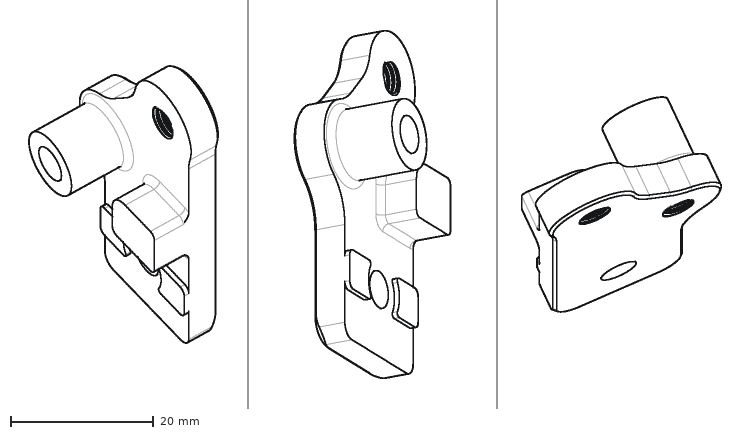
import cadquery as cq
import math


plate_thickness = 5.0
foot_width = 20.0
foot_drop = 10.0
foot_corner_radius = 2.0
lobe_radius = 6.7
top_lobe = (3.86, 32.88)
side_lobe = (-9.355, 18.5)
blend_radius = 8.0
shoulder_z = 35.0
back_chamfer = 0.4
back_corner_radius = 4.0

clearance_diameter = 5.4
thread_minor_diameter = 4.43
thread_major_diameter = 5.12
thread_pitch = 0.8
thread_flank_angle = 30.0
thread_root_width = thread_pitch / 4
top_thread_angle = 245.0
side_thread_angle = 40.0
overlap = 0.05

boss_diameter = 10.2
boss_height = 10.0
base_fillet = 1.0

block_height = 6.0
block_width = 10.0
block_bottom = 10.0
block_top = 18.5
block_large_radius = 3.0
block_small_radius = 1.0

pad_thickness = 0.8
pad_width = 5.85
pad_relief_radius = 4.5
pad_outer_radius = 1.0
pad_inner_radius = 0.5

half_foot = foot_width / 2
diagonal = math.sqrt(0.5)


def front_plane(y):
    """Plane parallel to the plate with local axes X, Z and extrusion toward -Y."""
    return cq.Workplane("XZ", origin=(0, y, 0))


def toward(start, end, distance):
    """Point at a given distance from start on the way to end."""
    span = math.dist(start, end)
    return tuple(a + (b - a) * distance / span for a, b in zip(start, end))


def arc_middle(center, start, end, radius):
    """Middle point of the short arc from start to end."""
    chord_middle = tuple((a + b) / 2 for a, b in zip(start, end))
    return toward(center, chord_middle, radius)


def edge_blend_center(lobe, edge_x, side):
    """Center of the blend between a lobe and a vertical edge, below the lobe."""
    x = edge_x + side * blend_radius
    return (x, lobe[1] - math.sqrt((lobe_radius + blend_radius) ** 2 - (x - lobe[0]) ** 2))


def shoulder_blend_center(lobe, along):
    """Center of the blend between a lobe and the shoulder line; along = +1 is up the line."""
    lobe_offset = (lobe[1] - lobe[0] - shoulder_z) * diagonal
    gap = blend_radius - lobe_offset
    reach = along * math.sqrt((lobe_radius + blend_radius) ** 2 - gap**2)
    return (lobe[0] + (reach - gap) * diagonal, lobe[1] + (reach + gap) * diagonal)


def make_plate():
    """Plate with two lobes, blended outline and chamfered back edge."""
    right_center = edge_blend_center(top_lobe, half_foot, 1)
    left_center = edge_blend_center(side_lobe, -half_foot, -1)
    upper_center = shoulder_blend_center(top_lobe, -1)
    lower_center = shoulder_blend_center(side_lobe, 1)
    to_line = blend_radius * diagonal

    right_edge = (half_foot, right_center[1])
    right_lobe = toward(top_lobe, right_center, lobe_radius)
    upper_lobe = toward(top_lobe, upper_center, lobe_radius)
    upper_line = (upper_center[0] + to_line, upper_center[1] - to_line)
    lower_line = (lower_center[0] + to_line, lower_center[1] - to_line)
    lower_lobe = toward(side_lobe, lower_center, lobe_radius)
    left_lobe = toward(side_lobe, left_center, lobe_radius)
    left_edge = (-half_foot, left_center[1])

    outline = (
        front_plane(plate_thickness)
        .moveTo(half_foot, -foot_drop)
        .lineTo(*right_edge)
        .threePointArc(arc_middle(right_center, right_edge, right_lobe, blend_radius), right_lobe)
        .threePointArc((top_lobe[0], top_lobe[1] + lobe_radius), upper_lobe)
        .threePointArc(arc_middle(upper_center, upper_lobe, upper_line, blend_radius), upper_line)
        .lineTo(*lower_line)
        .threePointArc(arc_middle(lower_center, lower_line, lower_lobe, blend_radius), lower_lobe)
        .threePointArc((side_lobe[0] - lobe_radius, side_lobe[1]), left_lobe)
        .threePointArc(arc_middle(left_center, left_lobe, left_edge, blend_radius), left_edge)
        .lineTo(-half_foot, -foot_drop)
        .close()
    )
    plate = outline.extrude(plate_thickness)
    plate = plate.edges("|Y and <Z").fillet(foot_corner_radius)
    plate = plate.faces(">Y").chamfer(back_chamfer)
    for side in (-1, 1):
        plate = plate.cut(make_back_corner_cutter(side))
    return plate


def make_back_corner_cutter(side):
    """Corner block less a 45 degree cone, which carries the back chamfer round a foot corner."""
    center_x = side * (half_foot - back_corner_radius)
    center_z = back_corner_radius - foot_drop
    depth = back_corner_radius / 2
    small_radius = back_corner_radius - back_chamfer
    block = (
        front_plane(plate_thickness)
        .moveTo(center_x + side * back_corner_radius / 2, center_z - back_corner_radius / 2)
        .rect(back_corner_radius, back_corner_radius)
        .extrude(depth)
    )
    cone = cq.Solid.makeCone(
        small_radius,
        small_radius + depth,
        depth,
        pnt=cq.Vector(center_x, plate_thickness, center_z),
        dir=cq.Vector(0, -1, 0),
    )
    return block.cut(cq.Workplane(cone))


def flare_base(body):
    """Add a concave fillet where a raised body, built about the origin, meets the front face."""
    reach = 2 * foot_width
    slab = front_plane(0).rect(reach, reach).extrude(-plate_thickness)
    base_edges = cq.selectors.BoxSelector(
        (-reach / 2 + overlap, -overlap, -reach / 2 + overlap),
        (reach / 2 - overlap, overlap, reach / 2 - overlap),
    )
    flared = slab.union(body).edges(base_edges).fillet(base_fillet)
    return flared.cut(slab)


def make_boss():
    """Tubular boss, still without its bore."""
    boss = front_plane(0).circle(boss_diameter / 2).extrude(boss_height)
    return flare_base(boss).translate((side_lobe[0], 0, side_lobe[1]))


def make_block():
    """Stop block with a filleted base, trimmed flush with the right edge of the plate."""
    block_span = block_top - block_bottom
    block = front_plane(0).rect(block_width, block_span).extrude(block_height)
    block = block.edges("|Y").edges("<X and >Z").fillet(block_large_radius)
    block = block.edges("|Y").edges("(<X and <Z) or (>X and <Z) or (>X and >Z)").fillet(block_small_radius)
    trim = front_plane(0).rect(block_width + 2 * base_fillet, 2 * block_span).extrude(block_height)
    trim = trim.translate((-base_fillet, 0, 0))
    block = flare_base(block).intersect(trim)
    return block.translate((half_foot - block_width / 2, 0, (block_bottom + block_top) / 2))


def make_pads():
    """Two low pads flush with the foot edges, relieved by an arc around the clearance hole."""
    pads = front_plane(0).rect(foot_width, pad_width).extrude(pad_thickness)
    pads = pads.edges("|Y").fillet(pad_outer_radius)
    pads = pads.cut(front_plane(0).circle(pad_relief_radius).extrude(pad_thickness))
    relief_corners = cq.selectors.BoxSelector(
        (-pad_relief_radius, -pad_thickness, -pad_width),
        (pad_relief_radius, 0, pad_width),
    )
    return pads.edges("|Y").edges(relief_corners).fillet(pad_inner_radius)


def make_thread_cutter(position, start_angle):
    """Tapped bore through the plate: a minor bore and a helical V groove."""
    minor_radius = thread_minor_diameter / 2
    major_radius = thread_major_diameter / 2
    inner_radius = minor_radius - overlap
    root_half = thread_root_width / 2
    mouth_half = root_half + (major_radius - inner_radius) * math.tan(math.radians(thread_flank_angle))
    length = plate_thickness + 2 * thread_pitch
    path = cq.Wire.makeHelix(thread_pitch, length, minor_radius)
    groove = (
        cq.Workplane("XZ")
        .polyline([
            (inner_radius, -mouth_half),
            (major_radius, -root_half),
            (major_radius, root_half),
            (inner_radius, mouth_half),
        ])
        .close()
        .sweep(cq.Workplane(path), isFrenet=True)
    )
    bore = cq.Workplane().circle(minor_radius).extrude(length)
    cutter = bore.union(groove).rotate((0, 0, 0), (1, 0, 0), -90).translate((0, -thread_pitch, 0))
    x, z = position
    return cutter.rotate((0, 0, 0), (0, 1, 0), -start_angle).translate((x, 0, z))


def make_bore(position, y_back, depth):
    """Clearance bore running toward -Y."""
    return front_plane(y_back).center(*position).circle(clearance_diameter / 2).extrude(depth)


def make_part():
    part = make_plate().union(make_boss()).union(make_block()).union(make_pads())
    part = part.cut(make_bore((0, 0), plate_thickness, plate_thickness))
    part = part.cut(make_bore(side_lobe, 0, boss_height))
    part = part.cut(make_thread_cutter(top_lobe, top_thread_angle))
    part = part.cut(make_thread_cutter(side_lobe, side_thread_angle))
    return part


result = make_part()